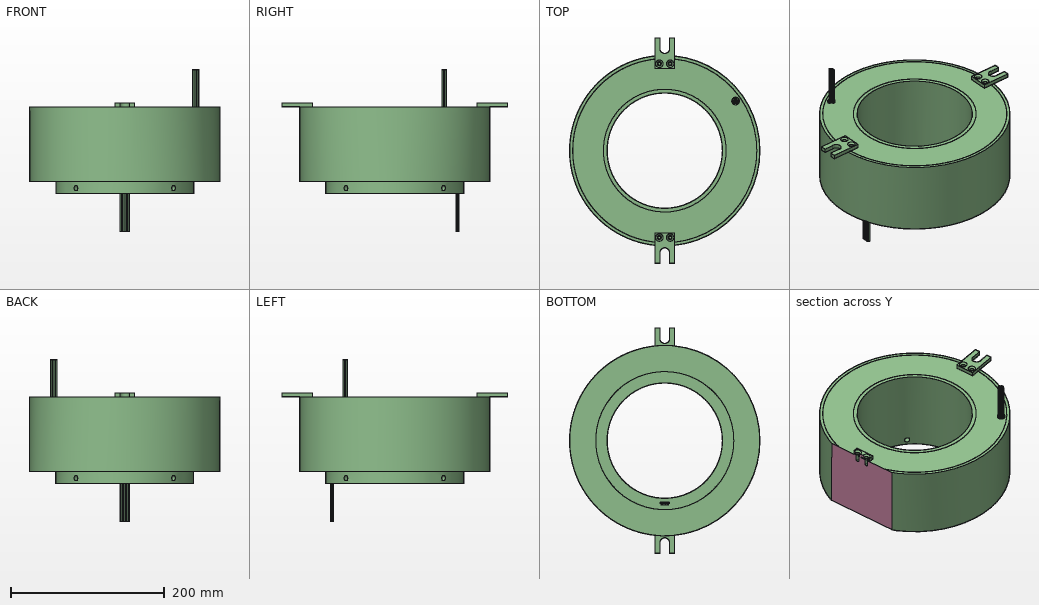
import cadquery as cq
import math

drum_diameter = 248.0
drum_height = 97.3
flange_diameter = 180.0
flange_height = 16.0
bore_diameter = 150.0
total_height = drum_height + flange_height

face_recess_outer_diameter = 240.0
face_recess_inner_diameter = 160.0
face_recess_depth = 0.3

radial_hole_diameter = 6.8
radial_hole_count = 4
radial_hole_start_angle = 45
radial_hole_height = 7.4

overall_length = 294.0
plate_width = 26.0
plate_length = 40.0
plate_thickness = 5.3
plate_outer_y = overall_length / 2
plate_inner_y = plate_outer_y - plate_length
slot_width = 11.8
slot_end_diameter = 12.3
slot_end_y = 133.0

screw_spacing = 14.0
screw_y = 113.2
screw_clearance_diameter = 5.3
countersink_diameter = 9.7
countersink_angle = 90
screw_pilot_diameter = 3.5
screw_pilot_depth = 8.8
drill_point_angle = 118

wire_diameter = 2.12
wire_pitch = 2.0

top_lead_radius = 112.5
top_lead_angle = 35
top_lead_length = 48.5
top_lead_rows = (3, 4, 2)
top_lead_row_pitch = 2.0
lead_recess_diameter = 10.0
lead_recess_depth = 1.5

bottom_lead_y = 82.0
bottom_lead_length = 49.5
bottom_lead_rows = (6, 5)
bottom_lead_row_pitch = 1.8
wire_embed = 1.5


def make_ring():
    drum = cq.Workplane("XY").circle(drum_diameter / 2).extrude(-drum_height)
    flange = (
        cq.Workplane("XY")
        .workplane(offset=-total_height)
        .circle(flange_diameter / 2)
        .extrude(flange_height)
    )
    bore = cq.Workplane("XY").circle(bore_diameter / 2).extrude(-total_height)
    face_recess = (
        cq.Workplane("XY")
        .circle(face_recess_outer_diameter / 2)
        .circle(face_recess_inner_diameter / 2)
        .extrude(-face_recess_depth)
    )
    return drum.union(flange).cut(bore).cut(face_recess)


def cut_radial_holes(body):
    hole = (
        cq.Workplane("YZ")
        .center(0, radial_hole_height - total_height)
        .circle(radial_hole_diameter / 2)
        .extrude(flange_diameter / 2)
    )
    for i in range(radial_hole_count):
        angle = radial_hole_start_angle + i * 360 / radial_hole_count
        body = body.cut(hole.rotate((0, 0, 0), (0, 0, 1), angle))
    return body


def make_plate():
    """Forked plate on the +Y side, with its slot open outwards."""
    slot_length = plate_outer_y - slot_end_y
    plate = (
        cq.Workplane("XY")
        .center(0, plate_inner_y + plate_length / 2)
        .rect(plate_width, plate_length)
        .extrude(plate_thickness)
    )
    slot = (
        cq.Workplane("XY")
        .center(0, slot_end_y)
        .circle(slot_end_diameter / 2)
        .extrude(plate_thickness)
        .union(
            cq.Workplane("XY")
            .center(0, slot_end_y + slot_length / 2)
            .rect(slot_width, slot_length)
            .extrude(plate_thickness)
        )
    )
    return plate.cut(slot)


def make_screw_hole():
    """Revolved cutter: countersink, clearance hole and pointed pilot hole."""
    countersink_radius = countersink_diameter / 2
    clearance_radius = screw_clearance_diameter / 2
    pilot_radius = screw_pilot_diameter / 2
    sink_slope = math.tan(math.radians(countersink_angle / 2))
    sink_depth = (countersink_radius - clearance_radius) / sink_slope
    point_depth = pilot_radius / math.tan(math.radians(drill_point_angle / 2))
    return (
        cq.Workplane("XZ")
        .moveTo(0, plate_thickness)
        .lineTo(countersink_radius, plate_thickness)
        .lineTo(clearance_radius, plate_thickness - sink_depth)
        .lineTo(clearance_radius, 0)
        .lineTo(pilot_radius, 0)
        .lineTo(pilot_radius, -screw_pilot_depth)
        .lineTo(0, -screw_pilot_depth - point_depth)
        .close()
        .revolve(360, (0, 0), (0, 1))
    )


def add_plates(body):
    plate = make_plate()
    screw_hole = make_screw_hole()
    for angle in (0, 180):
        body = body.union(plate.rotate((0, 0, 0), (0, 0, 1), angle))
    for x in (-screw_spacing / 2, screw_spacing / 2):
        for y in (-screw_y, screw_y):
            body = body.cut(screw_hole.translate((x, y, 0)))
    return body


def make_bundle(rows, row_pitch, length):
    """Parallel wires standing on z = 0, laid in rows centred on the origin."""
    points = []
    for row, count in enumerate(rows):
        y = (row - (len(rows) - 1) / 2) * row_pitch
        for column in range(count):
            points.append(((column - (count - 1) / 2) * wire_pitch, y))
    wire = cq.Workplane("XY").circle(wire_diameter / 2).extrude(length)
    bundle = cq.Workplane("XY")
    for x, y in points:
        bundle = bundle.union(wire.translate((x, y, 0)))
    return bundle


def add_top_lead(body):
    x = top_lead_radius * math.cos(math.radians(top_lead_angle))
    y = top_lead_radius * math.sin(math.radians(top_lead_angle))
    recess = cq.Workplane("XY").center(x, y).circle(lead_recess_diameter / 2).extrude(-lead_recess_depth)
    buried = lead_recess_depth + wire_embed
    bundle = make_bundle(top_lead_rows, top_lead_row_pitch, top_lead_length + buried)
    return body.cut(recess).union(bundle.translate((x, y, -buried)))


def add_bottom_lead(body):
    bundle = make_bundle(bottom_lead_rows, bottom_lead_row_pitch, bottom_lead_length + wire_embed)
    return body.union(bundle.translate((0, bottom_lead_y, -total_height - bottom_lead_length)))


result = make_ring()
result = cut_radial_holes(result)
result = add_plates(result)
result = add_top_lead(result)
result = add_bottom_lead(result)